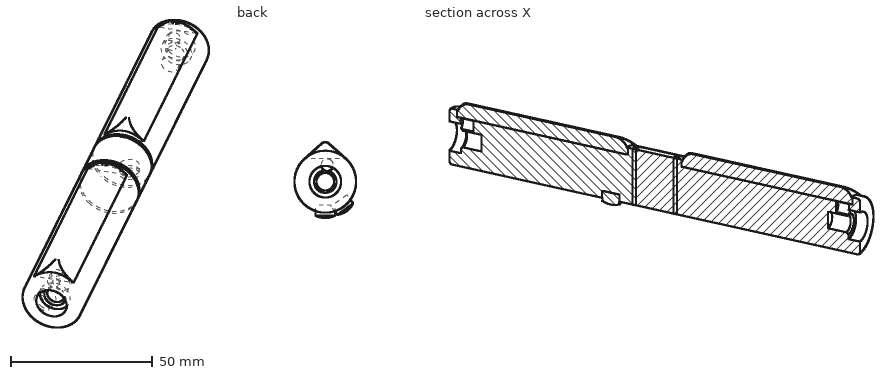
import cadquery as cq
import math

total_length = 165.0
outer_diameter = 22.0
outer_radius = outer_diameter / 2
collar_length = 15.3
ring_width = 1.2
end_rounding = 1.2

socket_diameter = 11.2
socket_depth = 4.6
pilot_mouth_diameter = 8.0
pilot_diameter = 6.3
pilot_cone_depth = 0.8
pilot_depth = 8.2

side_hole_diameter = 4.3
side_hole_offset = -0.7
side_hole_height = 6.0
side_hole_depth = 5.0

blade_length = 68.6
blade_top = 14.0
flank_slope = math.radians(41.5)
ridge_rounding = 1.5
blade_end_rounding = 5.0

button_diameter = 7.0
button_seat = 8.2
button_rim = 12.0
button_tip = 12.9
rear_button_place = 17.7
rear_button_turn = 0.0
front_button_place = -69.8
front_button_turn = 36.0

half_length = total_length / 2
joint_place = collar_length / 2
barrel_start = joint_place + ring_width
socket_floor = half_length - socket_depth
blade_middle = (joint_place + half_length) / 2
blade_start = blade_middle - blade_length / 2
blade_end = blade_middle + blade_length / 2


def rod(diameter, start, end, offset=0.0, height=0.0):
    """Cylinder parallel to Y, from one place along Y to another, shifted in X and Z from the axis."""
    circle = cq.Workplane("XZ", origin=(offset, end, height)).circle(diameter / 2)
    return circle.extrude(end - start)


def socket_cone():
    """Narrowing mouth of the pilot hole, below the socket floor."""
    mouth = cq.Workplane("XZ", origin=(0, socket_floor, 0)).circle(pilot_mouth_diameter / 2)
    return mouth.workplane(offset=pilot_cone_depth).circle(pilot_diameter / 2).loft()


def make_barrel():
    """Rear barrel with a rounded free end and a stepped socket in it."""
    barrel = rod(outer_diameter, barrel_start, half_length)
    barrel = barrel.faces(">Y").edges().fillet(end_rounding)
    barrel = barrel.cut(rod(socket_diameter, socket_floor, half_length))
    barrel = barrel.cut(socket_cone())
    barrel = barrel.cut(rod(pilot_diameter, socket_floor - pilot_depth, socket_floor))
    side_hole_floor = socket_floor - side_hole_depth
    side_hole = rod(side_hole_diameter, side_hole_floor, socket_floor, side_hole_offset, side_hole_height)
    return barrel.cut(side_hole)


def make_ring():
    """Thin ring between the rear barrel and the collar."""
    return rod(outer_diameter, joint_place, barrel_start)


def make_collar():
    """Middle piece of the stick."""
    return rod(outer_diameter, -joint_place, joint_place)


def make_blade():
    """Rear blade: a roof with a flat base, a narrow ridge rounded along both sides, and rounded ends."""
    foot_x = outer_radius * math.sin(flank_slope)
    foot_z = outer_radius * math.cos(flank_slope)
    flank_meeting_z = outer_radius / math.cos(flank_slope)
    ridge_half = (flank_meeting_z - blade_top) / math.tan(flank_slope)
    roof = (
        cq.Workplane("XZ", origin=(0, blade_end, 0))
        .polyline([(-foot_x, foot_z), (-ridge_half, blade_top), (ridge_half, blade_top), (foot_x, foot_z)])
        .close()
        .extrude(blade_length)
    )
    roof = roof.edges("|Y").edges(">Z").fillet(ridge_rounding)
    side = (
        cq.Workplane("YZ", origin=(-outer_radius, 0, 0))
        .moveTo((blade_start + blade_end) / 2, blade_top / 2)
        .rect(blade_length, blade_top)
        .extrude(outer_diameter)
    )
    side = side.edges("|X").edges(">Z").fillet(blade_end_rounding)
    return roof.intersect(side)


def make_button(place, turn):
    """Domed button pointing down, turned about the Y axis towards -X."""
    radius = button_diameter / 2
    dome_height = button_tip - button_rim
    dome_radius = (radius**2 + dome_height**2) / (2 * dome_height)
    button = (
        cq.Workplane("XZ", origin=(0, place, 0))
        .moveTo(0, -button_seat)
        .lineTo(radius, -button_seat)
        .lineTo(radius, -button_rim)
        .radiusArc((0, -button_tip), dome_radius)
        .close()
        .revolve(360, (0, 0, 0), (0, 1, 0))
    )
    return button.rotate((0, 0, 0), (0, 1, 0), turn)


rear_button = make_button(rear_button_place, rear_button_turn)
front_button = make_button(front_button_place, front_button_turn)
buttons = [rear_button, front_button]

rear_blade = make_blade()
front_blade = rear_blade.mirror("XZ")
blades = [rear_blade, front_blade]

rear_barrel = make_barrel().cut(rear_blade).cut(rear_button)
front_barrel = make_barrel().mirror("XZ").cut(front_blade).cut(front_button)
barrels = [rear_barrel, front_barrel]
rings = [make_ring(), make_ring().mirror("XZ")]
collar = make_collar()

bodies = [collar, *barrels, *rings, *blades, *buttons]
result = cq.Compound.makeCompound([solid for body in bodies for solid in body.solids().vals()])